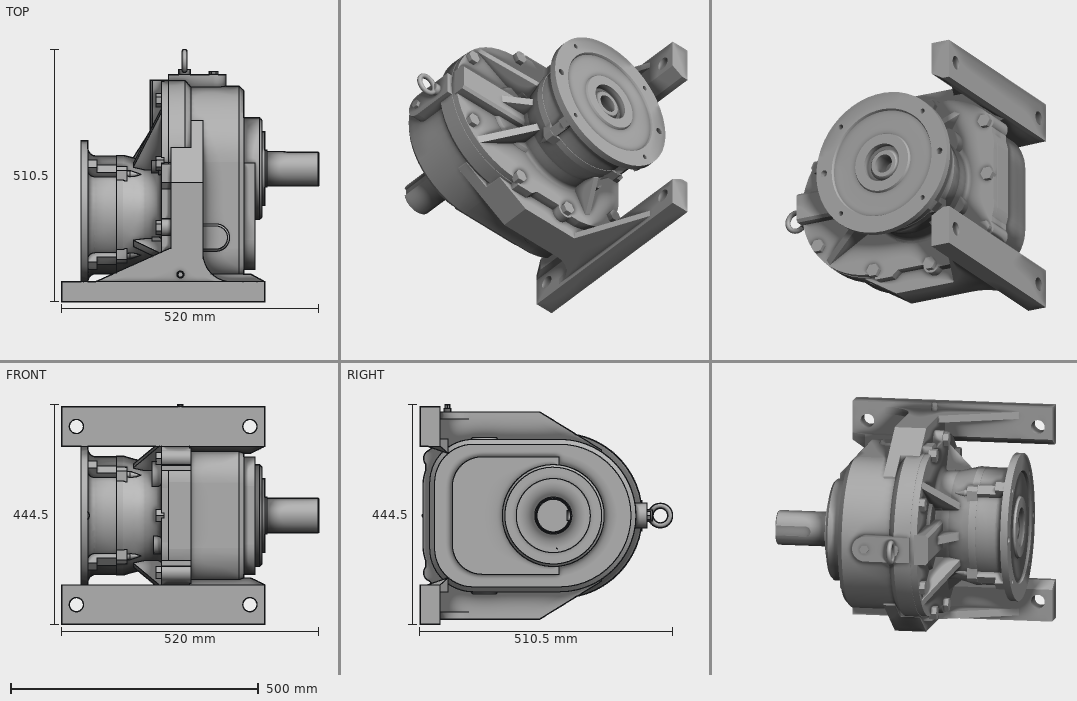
import cadquery as cq
import math


OUTPUT_Y = 93.0
FLANGE_R = 150.0
FLANGE_T = 14.5
FLANGE_BOLT_R = 132.5
NECK_R = 119.0
NECK_FILLET = 15.5
COVER_X = 163.5
FLANGE_TAPER_X = 210.5
CASE_X = 222.5
CASE_END_X = 329.5
CASE_R = 154.0
CASE_TOP_Y = 106.0
BOTTOM_Y = -170.0
COVER_R = 167.0
COVER_STEP = 1.0
FLANGE_X = 177.0
PAD_TOP_Y = 283.0
PLATE_Z = 209.5
PLATE_T = 14.5
RAIL_X = (-38.5, 372.0)
RAIL_Y = (-176.0, -135.0)
RAIL_Z = (140.0, 220.0)
BOLT_CORNERS = 28.0
BOLT_HEAD_T = 11.0


def along_x(x):
    return cq.Workplane("YZ", origin=(x, 0, 0))


def cylinder_x(x0, x1, radius, y=0.0, z=0.0):
    return along_x(x0).center(y, z).circle(radius).extrude(x1 - x0)


def box(x, y, z):
    """Box from three (low, high) pairs."""
    size = (x[1] - x[0], y[1] - y[0], z[1] - z[0])
    return cq.Workplane("XY", origin=(x[0], y[0], z[0])).box(*size, centered=False)


def turned(shape, angle):
    """Turn about the input axis, from +Y toward +Z."""
    return shape.rotate((0, 0, 0), (1, 0, 0), angle)


def both_sides(shape):
    return shape.union(shape.mirror("XY"))


def neck():
    cone_x0, cone_x1 = 86.5, 129.0
    collar_x, collar_r = 72.0, 120.0
    throat_r = 109.0
    root_fillet = 9.0
    bend = 1 - math.sqrt(0.5)
    return (
        cq.Workplane("XY")
        .moveTo(0, 0)
        .lineTo(0, FLANGE_R)
        .lineTo(FLANGE_T, FLANGE_R)
        .lineTo(FLANGE_T, NECK_R + NECK_FILLET)
        .threePointArc(
            (FLANGE_T + NECK_FILLET * bend, NECK_R + NECK_FILLET * bend),
            (FLANGE_T + NECK_FILLET, NECK_R),
        )
        .lineTo(collar_x, NECK_R)
        .lineTo(collar_x, collar_r)
        .lineTo(cone_x0, collar_r)
        .lineTo(cone_x1, throat_r)
        .lineTo(COVER_X - root_fillet, throat_r)
        .threePointArc(
            (COVER_X - root_fillet * bend, throat_r + root_fillet * bend),
            (COVER_X, throat_r + root_fillet),
        )
        .lineTo(COVER_X + 5, throat_r + root_fillet)
        .lineTo(COVER_X + 5, 0)
        .close()
        .revolve(360, (0, 0, 0), (1, 0, 0))
    )


def neck_lug():
    """Stepped rib behind a flange bolt, with its square end block and tapered nose."""
    width = 21.0
    step_x, rib_end = 33.5, 72.0
    rib_r, step_r = 131.5, 145.5
    inner_r = 104.0
    half = (-width / 2, width / 2)
    rib = box((5, step_x), (inner_r, step_r), half)
    rib = rib.union(box((5, rib_end), (inner_r, rib_r), half))
    rib = turned(rib, 45)
    block_low, block_high, block_end = 68.0, 98.0, 93.0
    block_side = (block_low, block_high)
    block = box((rib_end, block_end), block_side, block_side)
    block = block.edges("|X and >Y and >Z").chamfer(8.0)
    nose_r, nose_axis_r, nose_base, nose_tip = 8.0, 115.5, 100.0, 121.5
    nose = (
        cq.Workplane("XY")
        .polyline([(block_end - 5, 0), (block_end - 5, nose_r), (nose_base, nose_r), (nose_tip, 0)])
        .close()
        .revolve(360, (0, 0, 0), (1, 0, 0))
        .translate((0, nose_axis_r, 0))
    )
    return rib.union(block).union(turned(nose, 45))


def web(start_x, start_r, end_x, end_r, width):
    """Triangular stiffening web between the neck and the cover, on the +Y side."""
    inner_r = 99.0
    return (
        cq.Workplane("XY", origin=(0, 0, -width / 2))
        .polyline([(start_x, inner_r), (start_x, start_r), (end_x, end_r), (end_x, inner_r)])
        .close()
        .extrude(width)
    )


def cover_webs():
    width = 14.5
    start_x, start_r = 106.0, 115.5
    long_r, short_r = 244.5, 170.5
    rail_x, bevel_x, rail_half, crest_half = 140.0, 145.0, 30.5, 25.0
    rail_low_y, rail_top_y = 99.0, CASE_TOP_Y + COVER_R - COVER_STEP
    webs = (
        cq.Workplane("XZ", origin=(0, rail_low_y, 0))
        .polyline(
            [
                (COVER_X + 5, -rail_half),
                (bevel_x, -rail_half),
                (rail_x, -crest_half),
                (rail_x, crest_half),
                (bevel_x, rail_half),
                (COVER_X + 5, rail_half),
            ]
        )
        .close()
        .extrude(rail_low_y - rail_top_y)
    )
    webs = webs.union(web(start_x, start_r, 142.5, 172.5, 16.5))
    for side in (1, -1):
        webs = webs.union(turned(web(start_x, start_r, COVER_X, long_r, width), side * 30))
        webs = webs.union(turned(web(start_x, start_r, COVER_X, short_r, width), side * 120))
    return webs


def cover_bosses():
    large = cylinder_x(143.5, COVER_X + 5, 31.45, -67.0, 78.0)
    lower = cylinder_x(147.0, COVER_X + 5, 19.0, -91.0, -58.0)
    upper = cylinder_x(142.5, COVER_X + 5, 14.5, 98.0, 62.5)
    bearing = cylinder_x(157.0, COVER_X + 5, 80.0, OUTPUT_Y).faces("<X").chamfer(5.5)
    return large.union(lower).union(upper).union(bearing)


BOLT_POINTS = [(104.0, 161.5), (231.5, 85.5), (-25.5, 170.0), (-151.5, 115.5)]
BOTTOM_BOLT = (-158.0, 0)
LUG_R = 17.5


def flange_outline(x0, x1, inset, bottom_half):
    """Slab with the bolting outline shared by the cover and the case flange."""
    waist_z, shoulder_z, notch_y = 167.5, 178.0, -158.0
    bottom_y = BOTTOM_Y + inset
    half = (
        along_x(x0)
        .moveTo(CASE_TOP_Y, 0)
        .lineTo(CASE_TOP_Y, COVER_R - inset)
        .lineTo(103.0, 179.5)
        .lineTo(65.5, 179.5)
        .lineTo(52.0, waist_z)
        .lineTo(-25.5, waist_z)
        .lineTo(-40.5, shoulder_z)
        .lineTo(-65.0, shoulder_z)
        .threePointArc((-117.0, 160.5), (notch_y, 131.5))
        .lineTo(notch_y, 115.5)
        .lineTo(-165.0, 101.5)
        .lineTo(-165.0, 91.0)
        .threePointArc((-168.0, 80.5), (bottom_y, bottom_half))
        .lineTo(bottom_y, 0)
        .close()
        .extrude(x1 - x0)
    )
    for y, z in BOLT_POINTS[2:]:
        half = half.union(cylinder_x(x0, x1, LUG_R, y, z))
    return both_sides(half)


def case_flange():
    cover = flange_outline(COVER_X, FLANGE_X, COVER_STEP, 55.0)
    cover = cover.union(cylinder_x(COVER_X, FLANGE_X, COVER_R - COVER_STEP, CASE_TOP_Y))
    flange = flange_outline(FLANGE_X, CASE_X, 0, 67.5)
    ring = cylinder_x(FLANGE_X, FLANGE_TAPER_X, COVER_R, CASE_TOP_Y)
    taper = (
        along_x(FLANGE_TAPER_X)
        .center(CASE_TOP_Y, 0)
        .circle(COVER_R)
        .workplane(offset=CASE_X - FLANGE_TAPER_X)
        .circle(CASE_R)
        .loft()
    )
    return cover.union(flange).union(ring).union(taper)


def case_body():
    bottom_y, bottom_half = -156.5, 66.0
    corner_r = CASE_R - bottom_half
    corner_y = bottom_y + corner_r
    return (
        along_x(COVER_X)
        .moveTo(bottom_y, -bottom_half)
        .lineTo(bottom_y, bottom_half)
        .radiusArc((corner_y, CASE_R), corner_r)
        .lineTo(CASE_TOP_Y, CASE_R)
        .threePointArc((CASE_TOP_Y + CASE_R, 0), (CASE_TOP_Y, -CASE_R))
        .lineTo(corner_y, -CASE_R)
        .radiusArc((bottom_y, -bottom_half), corner_r)
        .close()
        .extrude(CASE_END_X - COVER_X)
        .faces(">X")
        .chamfer(10.0)
    )


def rear_end():
    """Rear pad, bearing boss, retainer ring and output shaft."""
    pad_x, boss_x, retainer_x, collar_x, shaft_x = 352.0, 366.0, 372.0, 376.5, 481.5
    inside_x = CASE_END_X - 5
    pad = box((inside_x, pad_x), (-111.0, 104.5), (-118.5, 118.5))
    pad = pad.edges("|X and <Y").fillet(60.0)
    boss = cylinder_x(inside_x, boss_x, 103.0, OUTPUT_Y).faces(">X").chamfer(5.0)
    retainer = cylinder_x(boss_x - 5, retainer_x, 75.0, OUTPUT_Y)
    collar = cylinder_x(retainer_x - 5, collar_x, 37.5, OUTPUT_Y)
    shaft_r = 35.1
    shaft = cylinder_x(collar_x - 5, shaft_x, shaft_r, OUTPUT_Y).faces(">X").chamfer(2.0)
    key_width, key_depth, key_start = 20.5, 7.5, 408.5
    key_center = key_start + key_width / 2
    key_floor = OUTPUT_Y + shaft_r - key_depth
    key_box = box(
        (key_center, shaft_x), (key_floor, key_floor + 2 * key_depth), (-key_width / 2, key_width / 2)
    )
    key_end = (
        cq.Workplane("XZ", origin=(key_center, key_floor, 0))
        .circle(key_width / 2)
        .extrude(-2 * key_depth)
    )
    shaft = shaft.cut(key_box).cut(key_end)
    return pad.union(boss).union(retainer).union(collar).union(shaft)


def side_window():
    """Round-ended raised pad on the flank of the case, with sloping sides."""
    center_x, center_y = 273.0, -46.0
    radius, slope = 28.5, 5.0
    base_z, top_z = 135.0, 158.0
    pad = cq.Workplane("XY", origin=(center_x, center_y, base_z)).circle(radius).extrude(top_z - base_z)
    tail = box(
        (CASE_X, center_x), (center_y - radius, center_y + radius), (base_z, top_z)
    )
    return pad.union(tail).faces(">Z").chamfer(slope)


def top_pad():
    pad_start, pad_center, pad_half = 177.0, 268.5, 25.5
    pad_base = OUTPUT_Y + 145.5
    height = PAD_TOP_Y - pad_base
    level = cq.Workplane("XZ", origin=(pad_center, pad_base, 0))
    pad = box((pad_start, pad_center), (pad_base, PAD_TOP_Y), (-pad_half, pad_half))
    pad = pad.union(level.circle(pad_half).extrude(-height))
    plug = (
        cq.Workplane("XZ", origin=(pad_center, PAD_TOP_Y - 5, 0)).polygon(6, 18.0).extrude(-12.0)
    )
    eye_x, eye_y, ring_r, wire_r, base_top = 209.5, 309.5, 20.0, 5.0, 294.0
    base = cq.Workplane("XZ", origin=(eye_x, PAD_TOP_Y - 5, 0)).circle(12.0)
    base = base.extrude(-(base_top - PAD_TOP_Y + 5))
    ring = cq.Workplane("XY", origin=(eye_x, eye_y + ring_r, 0)).circle(wire_r)
    ring = ring.revolve(360, (0, -ring_r, 0), (1, -ring_r, 0))
    return pad.union(plug).union(base).union(ring)


def foot_rail():
    rail = box(RAIL_X, RAIL_Y, RAIL_Z)
    bevel_y, bevel_z = 26.0, 14.5
    bevel = (
        along_x(RAIL_X[0])
        .polyline(
            [
                (RAIL_Y[1], RAIL_Z[0]),
                (RAIL_Y[1] - bevel_y, RAIL_Z[0]),
                (RAIL_Y[1], RAIL_Z[0] + bevel_z),
            ]
        )
        .close()
        .extrude(RAIL_X[1] - RAIL_X[0])
    )
    rail = rail.cut(bevel)
    hole_z = (RAIL_Z[0] + RAIL_Z[1]) / 2
    for x in (-9.0, 341.5):
        hole = cq.Workplane("XZ", origin=(x, RAIL_Y[0] - 5, hole_z)).circle(14.0).extrude(-52)
        rail = rail.cut(hole)
    return rail


def foot_leg():
    leg_x0, leg_x1 = 182.5, 247.0
    slope_top_y, slope_end_y, slope_end_z = 65.5, 190.5, 132.5
    step_y = 135.5
    spread_y = -66.5
    inner_z, taper_y = 99.0, -78.0
    rail_top = RAIL_Y[1]
    bottom = rail_top - 5
    plate_x0 = 29.5
    sweep_r = 57.0
    sweep_x, sweep_y = leg_x1 + sweep_r, rail_top + sweep_r
    side = (
        along_x(leg_x0)
        .polyline(
            [
                (taper_y, inner_z),
                (bottom, RAIL_Z[0]),
                (bottom, PLATE_Z),
                (slope_top_y, PLATE_Z),
                (slope_end_y, slope_end_z),
                (slope_end_y, inner_z),
            ]
        )
        .close()
        .extrude(leg_x1 - leg_x0)
    )
    relief = box((leg_x0, CASE_X), (step_y, slope_end_y), (inner_z, PLATE_Z))
    plate = (
        cq.Workplane("XY", origin=(0, 0, PLATE_Z - PLATE_T))
        .moveTo(leg_x0, spread_y)
        .lineTo(plate_x0, rail_top)
        .lineTo(plate_x0, bottom)
        .lineTo(sweep_x, bottom)
        .lineTo(sweep_x, rail_top)
        .radiusArc((leg_x1, sweep_y), sweep_r)
        .close()
        .extrude(PLATE_T)
    )
    return side.cut(relief).union(plate)


def foot_brace():
    """Brace between the rail and the lower corner of the case."""
    top_y, low_y = -119.5, -161.0
    low_z, high_z = 126.0, RAIL_Z[0] + 14.5
    start_x, corner_x, end_x = CASE_X - 2.5, 343.0, RAIL_X[1]
    plan = (
        cq.Workplane("XY", origin=(0, 0, low_z))
        .polyline(
            [(start_x, low_y), (start_x, top_y), (corner_x, top_y), (end_x, RAIL_Y[1]), (end_x, low_y)]
        )
        .close()
        .extrude(high_z - low_z)
    )
    front = (
        cq.Workplane("XZ", origin=(0, top_y, 0))
        .polyline(
            [(start_x, low_z), (corner_x, low_z), (end_x, RAIL_Z[0]), (end_x, high_z), (start_x, high_z)]
        )
        .close()
        .extrude(top_y - low_y)
    )
    section = (
        along_x(start_x)
        .polyline([(low_y, RAIL_Z[0]), (top_y, low_z), (top_y, high_z), (low_y, high_z)])
        .close()
        .extrude(end_x - start_x)
    )
    return plan.intersect(front).intersect(section)


def breather():
    """Small screw standing on the +Z foot plate."""
    level = cq.Workplane("XY", origin=(201.0, -120.5, PLATE_Z - 5))
    return level.circle(7.0).extrude(12.0).union(level.polygon(6, 11.5).extrude(20.0))


def cover_bolts():
    points = BOLT_POINTS + [(y, -z) for y, z in BOLT_POINTS] + [BOTTOM_BOLT]
    heads = along_x(COVER_X - BOLT_HEAD_T).pushPoints(points)
    return heads.polygon(6, BOLT_CORNERS).extrude(BOLT_HEAD_T + 5)


def flange_openings():
    recess_depth = 5.0
    recess_r, hub_r, draft = 115.0, 63.5, 2.5
    recess = (
        cq.Workplane("XY")
        .polyline(
            [(0, hub_r - draft), (0, recess_r), (recess_depth, recess_r - draft), (recess_depth, hub_r)]
        )
        .close()
        .revolve(360, (0, 0, 0), (1, 0, 0))
    )
    pocket_depth, pocket_r, sleeve_base_r, sleeve_tip_r, sleeve_x = 15.5, 40.0, 33.5, 27.5, 8.0
    pocket = (
        cq.Workplane("XY")
        .polyline(
            [
                (0, 0),
                (0, pocket_r),
                (pocket_depth, pocket_r),
                (pocket_depth, sleeve_base_r),
                (sleeve_x, sleeve_tip_r),
                (sleeve_x, 0),
            ]
        )
        .close()
        .revolve(360, (0, 0, 0), (1, 0, 0))
    )
    bore_r, bore_depth = 19.0, 52.0
    recess = recess.union(pocket).union(cylinder_x(0, bore_depth, bore_r))
    for y in (FLANGE_BOLT_R, -FLANGE_BOLT_R):
        recess = recess.union(cylinder_x(0, FLANGE_T + NECK_FILLET, 7.0, y))
    tapped_depth = 26.0
    for angle in (45, 135, 225, 315):
        recess = recess.union(turned(cylinder_x(0, tapped_depth, 5.0, FLANGE_BOLT_R), angle))
    return recess


result = neck()
for turn in (0, 90, 180, 270):
    result = result.union(turned(neck_lug(), turn))
result = result.union(cover_webs()).union(cover_bosses())
result = result.union(case_flange()).union(case_body()).union(rear_end())
result = result.union(top_pad()).union(cover_bolts())
for foot_part in (foot_rail(), foot_leg(), foot_brace(), side_window()):
    result = result.union(both_sides(foot_part))
result = result.union(breather()).cut(flange_openings())